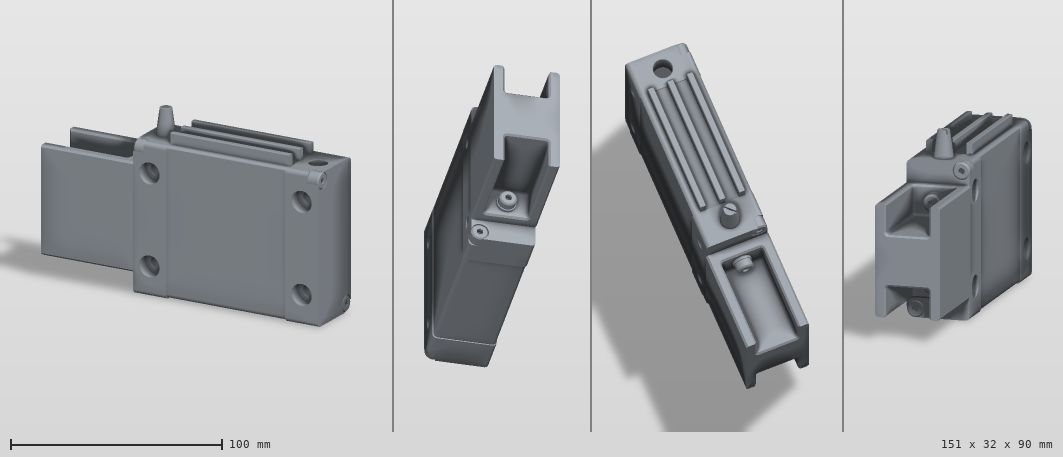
import cadquery as cq
import math

BODY_LENGTH = 101.0
BODY_HEIGHT = 76.5
CAP_WIDTH = 31.2
BODY_EDGE_RADIUS = 2.2
MIDDLE_LENGTH = 65.0
MIDDLE_WIDTH = 30.4
MIDDLE_BASE_Z = 0.5
CAP_LENGTH = (BODY_LENGTH - MIDDLE_LENGTH) / 2

MOUNT_SPACING_X = 83.0
MOUNT_SPACING_Z = 46.5
MOUNT_DIAMETER = 6.0
MOUNT_BORE_DIAMETER = 11.0
MOUNT_BORE_DEPTH = 6.0

RAIL_COUNT = 3
RAIL_PITCH = 10.0
RAIL_WIDTH = 3.0
RAIL_HEIGHT = 5.7
RAIL_EDGE_RADIUS = 0.5
FLOOR_RECESS = 0.5

TOTAL_HEIGHT = 90.03
PIN_BASE_DIAMETER = 9.6
PIN_TOP_DIAMETER = 6.0
PIN_SLOT_WIDTH = 1.0
PIN_SLOT_DEPTH = 2.0
PIN_SLOT_ANGLE = 45.0
PORT_DIAMETER = 9.3
PORT_DEPTH = 10.0
PORT_RIM_CHAMFER = 0.3

HEAD_DIAMETER = 8.4
HEAD_CHAMFER = 0.7
CORNER_HEAD_LENGTH = 5.8
CORNER_HEAD_INSET = HEAD_DIAMETER / 2
CORNER_SEAT_DIAMETER = 8.6
HEX_ACROSS_FLATS = 3.0
SOCKET_DEPTH = 2.5

ARM_LENGTH = 50.0
ARM_WIDTH = 32.0
ARM_HEIGHT = 55.0
ARM_EDGE_CHAMFER = 1.0
POCKET_LENGTH = 44.6
POCKET_WIDTH = 21.5
POCKET_DEPTH = 15.0
POCKET_FILLET = 1.5
POCKET_RIM_CHAMFER = 0.9
ARM_HEAD_LENGTH = 5.5
ARM_HEAD_DEPTH = 7.5
ARM_SOCKET_DIAMETER = 3.2
ARM_COLLAR_DIAMETER = 9.5
ARM_COLLAR_LENGTH = 1.4

BODY_CENTER_X = BODY_LENGTH / 2
BODY_CENTER_Z = BODY_HEIGHT / 2
MOUNT_X = [BODY_CENTER_X - MOUNT_SPACING_X / 2, BODY_CENTER_X + MOUNT_SPACING_X / 2]
ARM_TOP_Z = BODY_CENTER_Z + ARM_HEIGHT / 2


def box(x_min, length, width, z_min, height):
    """Box starting at x_min and z_min, centred on y = 0."""
    return cq.Workplane("XY").box(length, width, height, (False, True, False)).translate((x_min, 0, z_min))


def x_cylinder(diameter, length, start):
    """Cylinder running along +X from the given start point."""
    return cq.Workplane(cq.Solid.makeCylinder(diameter / 2, length, cq.Vector(*start), cq.Vector(1, 0, 0)))


def mirror_in_x(shape):
    """Copy of a shape on the other end of the body."""
    return shape.mirror("YZ", (BODY_CENTER_X, 0, 0))


def make_body():
    envelope = box(0, BODY_LENGTH, CAP_WIDTH, 0, BODY_HEIGHT).edges("|X").fillet(BODY_EDGE_RADIUS)
    middle = box(CAP_LENGTH, MIDDLE_LENGTH, MIDDLE_WIDTH, MIDDLE_BASE_Z, BODY_HEIGHT - MIDDLE_BASE_Z)
    middle = middle.edges("|X and <Z").fillet(BODY_EDGE_RADIUS)
    floor_width = (RAIL_COUNT - 1) * RAIL_PITCH
    floor_recess = box(CAP_LENGTH, MIDDLE_LENGTH, floor_width, BODY_HEIGHT - FLOOR_RECESS, FLOOR_RECESS)
    between_caps = box(CAP_LENGTH, MIDDLE_LENGTH, CAP_WIDTH, 0, BODY_HEIGHT)
    caps = envelope.cut(between_caps)
    return caps.union(envelope.intersect(middle).cut(floor_recess))


def make_rails():
    rail_base_z = BODY_HEIGHT - FLOOR_RECESS
    rails = cq.Workplane("XY")
    for index in range(RAIL_COUNT):
        offset = (index - (RAIL_COUNT - 1) / 2) * RAIL_PITCH
        rail = box(CAP_LENGTH, MIDDLE_LENGTH, RAIL_WIDTH, rail_base_z, RAIL_HEIGHT + FLOOR_RECESS)
        rail = rail.edges("|X and >Z").fillet(RAIL_EDGE_RADIUS).translate((0, offset, 0))
        rails = rails.add(rail)
    return rails.combine()


def make_mount_holes():
    holes = cq.Workplane("XY")
    for x in MOUNT_X:
        for side in (-1, 1):
            start = cq.Vector(x, -CAP_WIDTH / 2, BODY_CENTER_Z + side * MOUNT_SPACING_Z / 2)
            along = cq.Vector(0, 1, 0)
            hole = cq.Solid.makeCylinder(MOUNT_DIAMETER / 2, CAP_WIDTH, start, along)
            bore = cq.Solid.makeCylinder(MOUNT_BORE_DIAMETER / 2, MOUNT_BORE_DEPTH, start, along)
            holes = holes.add(hole.fuse(bore))
    return holes.combine()


def make_pin():
    height = TOTAL_HEIGHT - BODY_HEIGHT
    base = cq.Vector(MOUNT_X[0], 0, BODY_HEIGHT)
    pin = cq.Workplane(cq.Solid.makeCone(PIN_BASE_DIAMETER / 2, PIN_TOP_DIAMETER / 2, height, base))
    slot = cq.Workplane("XY").box(PIN_BASE_DIAMETER, PIN_SLOT_WIDTH, PIN_SLOT_DEPTH, (True, True, False))
    slot = slot.rotate((0, 0, 0), (0, 0, 1), PIN_SLOT_ANGLE)
    return pin.cut(slot.translate((MOUNT_X[0], 0, TOTAL_HEIGHT - PIN_SLOT_DEPTH)))


def make_port():
    base = cq.Vector(MOUNT_X[1], 0, BODY_HEIGHT - PORT_DEPTH)
    port = cq.Workplane(cq.Solid.makeCylinder(PORT_DIAMETER / 2, PORT_DEPTH, base))
    rim_base = cq.Vector(MOUNT_X[1], 0, BODY_HEIGHT - PORT_RIM_CHAMFER)
    rim = cq.Solid.makeCone(
        PORT_DIAMETER / 2, PORT_DIAMETER / 2 + PORT_RIM_CHAMFER, PORT_RIM_CHAMFER, rim_base
    )
    return port.union(cq.Workplane(rim))


def make_corner_head():
    """Chamfered screw head with a hex socket, at the top front corner of the arm-side cap."""
    y = CORNER_HEAD_INSET - CAP_WIDTH / 2
    z = BODY_HEIGHT - CORNER_HEAD_INSET
    head = x_cylinder(HEAD_DIAMETER, CORNER_HEAD_LENGTH, (0, y, z)).faces("<X").chamfer(HEAD_CHAMFER)
    hex_across_corners = HEX_ACROSS_FLATS / math.cos(math.pi / 6)
    socket = cq.Workplane("YZ").polygon(6, hex_across_corners).extrude(SOCKET_DEPTH)
    socket = socket.rotate((0, 0, 0), (1, 0, 0), 90).translate((0, y, z))
    return head.cut(socket)


def make_corner_seat():
    """Clearance around a corner screw head, open to the top and front of the cap."""
    y = CORNER_HEAD_INSET - CAP_WIDTH / 2
    z = BODY_HEIGHT - CORNER_HEAD_INSET
    seat = x_cylinder(CORNER_SEAT_DIAMETER, CORNER_HEAD_LENGTH, (0, y, z))
    opening = cq.Workplane("XY").box(
        CORNER_HEAD_LENGTH, CORNER_HEAD_INSET, CORNER_HEAD_INSET, (False, False, False)
    )
    return seat.union(opening.translate((0, -CAP_WIDTH / 2, z)))


def on_all_corners(shape):
    """Copies at the top front and bottom back corners of both caps."""
    opposite = shape.rotate((0, 0, BODY_CENTER_Z), (1, 0, BODY_CENTER_Z), 180)
    pair = cq.Workplane("XY").add(shape).add(opposite).combine()
    return cq.Workplane("XY").add(pair).add(mirror_in_x(pair)).combine()


def make_pocket():
    """Cavity of the upper arm pocket, rounded at its floor and inner corners."""
    floor_z = ARM_TOP_Z - POCKET_DEPTH
    pocket = box(-ARM_LENGTH, POCKET_LENGTH, POCKET_WIDTH, floor_z, POCKET_DEPTH)
    return pocket.edges("(>X and |Z) or (<Z and (|X or >X))").fillet(POCKET_FILLET)


def make_arm_head():
    """Chamfered screw head with a round socket, on a collar against the pocket's end wall."""
    end_wall_x = POCKET_LENGTH - ARM_LENGTH
    z = ARM_TOP_Z - ARM_HEAD_DEPTH
    start = (end_wall_x - ARM_HEAD_LENGTH, 0, z)
    head = x_cylinder(HEAD_DIAMETER, ARM_HEAD_LENGTH, start)
    head = head.faces("<X").chamfer(HEAD_CHAMFER)
    collar = x_cylinder(ARM_COLLAR_DIAMETER, ARM_COLLAR_LENGTH, (end_wall_x - ARM_COLLAR_LENGTH, 0, z))
    head = head.union(collar)
    return head.cut(x_cylinder(ARM_SOCKET_DIAMETER, SOCKET_DEPTH, start))


def make_arm():
    upper_height = ARM_HEIGHT / 2
    arm = box(-ARM_LENGTH, ARM_LENGTH, ARM_WIDTH, BODY_CENTER_Z, upper_height)
    arm = arm.edges("|X and >Z").chamfer(ARM_EDGE_CHAMFER)
    arm = arm.cut(make_pocket())

    rim_half_width = POCKET_WIDTH / 2 + POCKET_RIM_CHAMFER
    rim_zone = cq.selectors.BoxSelector(
        (-ARM_LENGTH - POCKET_RIM_CHAMFER, -rim_half_width, BODY_CENTER_Z + POCKET_RIM_CHAMFER),
        (-POCKET_RIM_CHAMFER, rim_half_width, ARM_TOP_Z + POCKET_RIM_CHAMFER),
    )
    arm = arm.edges(rim_zone).edges(">Z or <X").chamfer(POCKET_RIM_CHAMFER)

    arm = arm.union(make_arm_head())
    return arm.union(arm.mirror("XY", (0, 0, BODY_CENTER_Z)))


body = make_body().cut(make_mount_holes()).cut(make_port())
body = body.cut(on_all_corners(make_corner_seat())).union(on_all_corners(make_corner_head()))
result = body.union(make_rails()).union(make_pin()).union(make_arm())